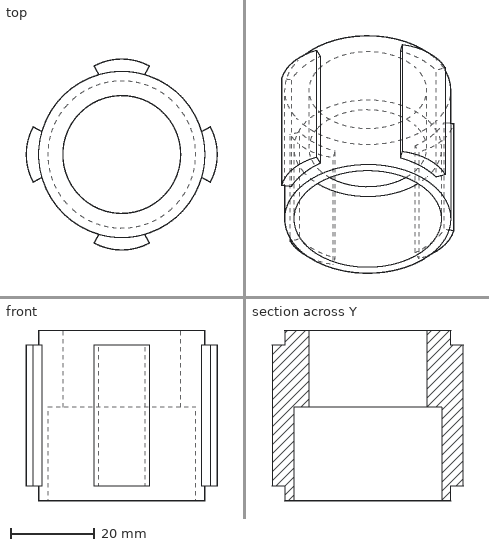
import cadquery as cq
import math

body_height = 41.0
body_radius = 20.0
bore_radius = 14.15

bore_depth = 18.5
chamber_radius = 17.75
chamber_height = body_height - bore_depth

pad_count = 4
pad_spacing = 360 / pad_count
pad_end_margin = 3.5
pad_height = body_height - 2 * pad_end_margin
pad_tip_radius = 23.0
pad_crown_radius = 14.0
pad_half_angle = 28.5
pad_crown_center = pad_tip_radius - pad_crown_radius


def make_body():
    return cq.Workplane("XY").circle(body_radius).extrude(body_height)


def make_pad(direction):
    """Sector-shaped pad turned to the given direction in degrees; the cavity later trims its tip."""
    half_angle = math.radians(pad_half_angle)
    half_width = pad_crown_radius * math.sin(half_angle)
    corner_reach = pad_crown_center + pad_crown_radius * math.cos(half_angle)
    return (
        cq.Workplane("XY")
        .workplane(offset=pad_end_margin)
        .moveTo(pad_crown_center, 0)
        .lineTo(corner_reach, -half_width)
        .threePointArc((pad_tip_radius, 0), (corner_reach, half_width))
        .close()
        .extrude(pad_height)
        .rotate((0, 0, 0), (0, 0, 1), direction)
    )


def make_cavity():
    """Stepped through hole: bore at the top, wider chamber at the bottom."""
    bore = cq.Workplane("XY").circle(bore_radius).extrude(body_height)
    chamber = cq.Workplane("XY").circle(chamber_radius).extrude(chamber_height)
    return bore.union(chamber)


result = make_body()
for index in range(pad_count):
    result = result.union(make_pad(index * pad_spacing))
result = result.cut(make_cavity())